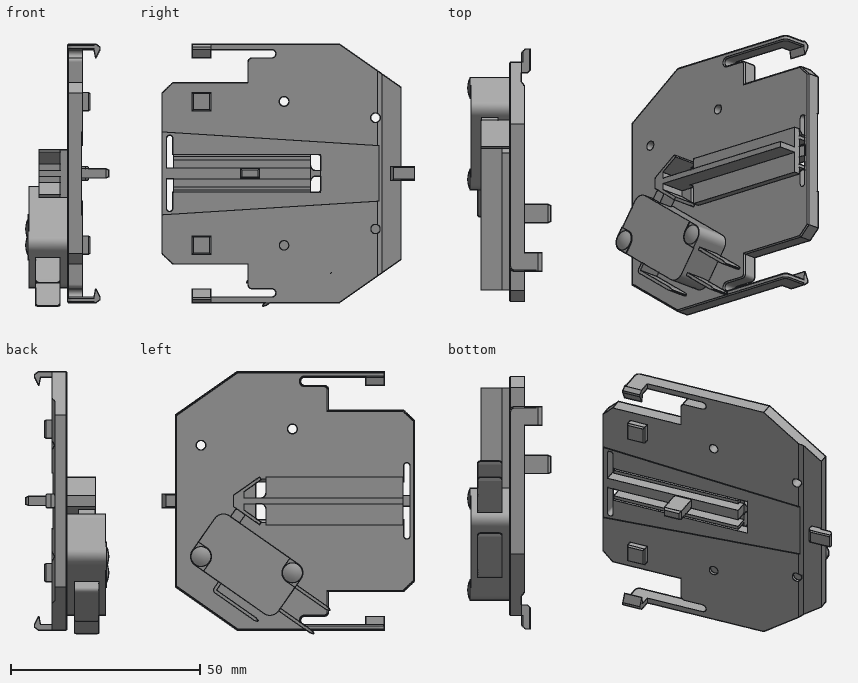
import cadquery as cq
import math


TILT = 35.0
TILT_COS = math.cos(math.radians(TILT))
TILT_SIN = math.sin(math.radians(TILT))

plate_length = 63.25
plate_half_height = 34.2
plate_thickness = 4.0
far_bevel_length = 16.4
far_bevel_height = far_bevel_length * math.tan(math.radians(TILT))
tongue_half_height = 24.0
tongue_bevel_length = 2.9
tongue_bevel_height = 2.8
shoulder_y = 22.75
shoulder_half_height = 30.5
shoulder_radius = 1.1
arm_thickness = 1.5
arm_slot_end_y = 30.1
edge_chamfer = 0.35
thin_end_thickness = 3.2
thin_end_start_y = 58.1
thin_end_ramp = 1.1

hook_near_y = 8.0
hook_width = 5.0
hook_bend_radius = 1.4
hook_reach = 8.7
lip_root_x = 7.0
lip_tip_near_x = 7.4
lip_tip_far_x = 7.55
lip_drop = 3.7
lip_outer_chamfer = 0.8
lip_bulge_drop = 1.45

post_inner_z = 16.5
post_height = 4.9
post_reach = 6.0
post_taper_length = 0.5
tip_inset = 0.35
tab_near_y = 60.4
tab_far_y = 66.8
tab_end_x = 5.6
tab_half_width = 1.9
tab_near_chamfer = 0.8
tab_far_chamfer = 1.05
tab_edge_chamfer = 0.35
recess_depth = 0.3
recess_half_width = 10.95
recess_far_half_width = 7.3

window_half_height = 4.9
window_far_y = 41.95
window_flare = 0.8
hinge_slot_near_y = 1.25
hinge_slot_width = 1.6
hinge_slot_half_length = 10.05
hinge_half_width = 1.45
hinge_sink = 0.3

lever_height = 7.55
web_half_thickness = 0.75
flange_thickness = 1.95
flange_half_width = 6.3
flange_near_y = 3.05
flange_far_y = 39.3
flange_fillet = 1.4
rib_inner_z = 3.55
rib_thickness = 0.9
arrow_nose_y = 47.9
arrow_nose_half_width = 1.45
wing_thickness = 0.8
wing_inner_y = 45.1
pin_near_y = 20.8
pin_length = 4.9
pin_half_height = 1.25
pin_reach = 10.95
pin_taper_length = 0.75

rivet_y = 56.45
rivet_z = -14.7
rivet_pitch_length = 22.25
rivet_pitch_height = 10.3
mount_hole_diameter = 2.5
case_margin = 2.8
case_thickness = 10.2
case_length = rivet_pitch_length + 2 * case_margin
case_height = rivet_pitch_height + 2 * case_margin
lug_thickness = 0.2
rivet_head_radius = 2.65
rivet_head_height = 0.6
plunger_start = 0.35
plunger_length = 2.9
plunger_radius = 0.55
plunger_depth = 4.45
plunger_back = 3.0
blade_thickness = 0.8
blade_width = 6.45
blade_back = 1.95
blade_tip = 36.05
blade_bevel_length = 1.0
blade_bevel_depth = 0.3
blade_corner_radius = 0.9
upper_blade_base = 7.5
lower_blade_base = 0.0
common_stub_start = 7.6
common_blade_base = -5.75
common_blade_tip = 22.1
common_bend_radius = 1.0

select_reach = 0.1

rivet_positions = [(0, 0), (rivet_pitch_length, rivet_pitch_height)]
switch_plane = cq.Plane(origin=(0, rivet_y, rivet_z), xDir=(0, -TILT_COS, -TILT_SIN), normal=(-1, 0, 0))


def block(x0, x1, y0, y1, z0, z1):
    return cq.Workplane("XY").box(x1 - x0, y1 - y0, z1 - z0, centered=False).translate((x0, y0, z0))


def mirrored(half):
    """Join a feature on the +Z side with its image on the -Z side."""
    return half.union(half.mirror("XY"))


def symmetric_outline(half_points, x, depth):
    """Extrude along X an outline given by its points on the +Z side, in (y, z)."""
    points = half_points + [(y, -z) for y, z in reversed(half_points)]
    return cq.Workplane("YZ", origin=(x, 0, 0)).polyline(points).close().extrude(depth)


def edge_at(y, z):
    """Selector box for the X-direction edge that passes through (y, z)."""
    return cq.selectors.BoxSelector((-plate_thickness, y - select_reach, z - select_reach),
                                    (plate_thickness, y + select_reach, z + select_reach))



def make_plate_blank():
    arm_inner = plate_half_height - arm_thickness
    half_points = [
        (0, tongue_half_height - tongue_bevel_height),
        (tongue_bevel_length, tongue_half_height),
        (shoulder_y, tongue_half_height),
        (shoulder_y, arm_inner),
        (hook_near_y, arm_inner),
        (hook_near_y, plate_half_height),
        (plate_length - far_bevel_length, plate_half_height),
        (plate_length, plate_half_height - far_bevel_height),
    ]
    blank = symmetric_outline(half_points, 0, plate_thickness)
    blank = blank.cut(make_arm_slots())
    for side in (1, -1):
        blank = blank.edges(edge_at(shoulder_y, side * shoulder_half_height)).fillet(shoulder_radius)
    return blank


def make_arm_slots():
    """Round-ended slots that free the arms from the plate; each opens at the shoulder."""
    height = plate_half_height - arm_thickness - shoulder_half_height
    length = 2 * (arm_slot_end_y - shoulder_y)
    slot = (cq.Workplane("YZ").center(shoulder_y, shoulder_half_height + height / 2)
            .slot2D(length, height).extrude(plate_thickness))
    return mirrored(slot)


def make_hook_legs():
    """Straight legs that carry each arm on towards +X."""
    return mirrored(block(0, lip_root_x, hook_near_y, hook_near_y + hook_width,
                          plate_half_height - arm_thickness, plate_half_height))


def make_hook_lips():
    top = plate_half_height
    lip = (cq.Workplane("XZ", origin=(0, hook_near_y, 0))
           .polyline([(lip_root_x, top), (lip_tip_far_x, top), (hook_reach, top - lip_outer_chamfer),
                      (hook_reach, top - lip_bulge_drop), (lip_tip_far_x, top - lip_drop),
                      (lip_tip_near_x, top - lip_drop), (lip_root_x, top - arm_thickness)])
           .close().extrude(-hook_width))
    return mirrored(lip)


def bend_and_chamfer(blank):
    """Round the outside of the hook bends, then bevel the outer edge of the front face."""
    bends = cq.selectors.BoxSelector((-select_reach, hook_near_y - select_reach, -plate_half_height),
                                     (select_reach, hook_near_y + select_reach, plate_half_height))
    blank = blank.edges("|Z").edges(bends).fillet(hook_bend_radius)
    return blank.faces("<X").edges().chamfer(edge_chamfer)


def make_thin_end_cut():
    start = thin_end_start_y - thin_end_ramp
    return (cq.Workplane("XY", origin=(0, 0, -plate_half_height))
            .polyline([(plate_thickness, start), (thin_end_thickness, thin_end_start_y),
                       (thin_end_thickness, plate_length), (plate_thickness, plate_length)])
            .close().extrude(2 * plate_half_height))


def make_back_recess():
    return symmetric_outline([(0, recess_half_width), (thin_end_start_y, recess_far_half_width)],
                             plate_thickness - recess_depth, recess_depth)


def make_lever_window():
    """Window behind the lever, flaring towards the front face, and the slot that frees its hinge."""
    near = hinge_slot_near_y + hinge_slot_width / 2
    front_half_height = window_half_height + window_flare
    window = (cq.Workplane("XZ", origin=(0, near, 0))
              .polyline([(0, -front_half_height), (0, front_half_height),
                         (window_flare, window_half_height), (plate_thickness, window_half_height),
                         (plate_thickness, -window_half_height), (window_flare, -window_half_height)])
              .close().extrude(near - window_far_y))
    slot = (cq.Workplane("YZ", origin=(0, near, 0))
            .slot2D(2 * hinge_slot_half_length, hinge_slot_width, 90).extrude(plate_thickness))
    return window.union(slot)


def make_hinge():
    """Strip behind the lever flange that joins the lever to the plate across the hinge slot."""
    back = plate_thickness - recess_depth
    return (cq.Workplane("XY", origin=(0, 0, -hinge_half_width))
            .polyline([(hinge_sink, hinge_slot_near_y), (0, flange_near_y), (0, flange_far_y),
                       (back, flange_far_y), (back, hinge_slot_near_y)])
            .close().extrude(2 * hinge_half_width))


def make_mounting_holes():
    holes = (cq.Workplane(switch_plane).pushPoints(rivet_positions)
             .circle(mount_hole_diameter / 2).extrude(-plate_thickness))
    return mirrored(holes)


def make_peg(x0, x1, y0, length, z0, height, taper_length):
    """Rectangular peg towards +X whose sides draw in over the taper length at its tip."""
    draft = math.degrees(math.atan(tip_inset / taper_length))
    centre = (y0 + length / 2, z0 + height / 2)
    shank_end = x1 - taper_length
    shank = cq.Workplane("YZ", origin=(x0, 0, 0)).center(*centre).rect(length, height).extrude(shank_end - x0)
    tip = (cq.Workplane("YZ", origin=(shank_end, 0, 0)).center(*centre)
           .rect(length, height).extrude(taper_length, taper=draft))
    return shank.union(tip)


def make_posts():
    return mirrored(make_peg(plate_thickness, post_reach, hook_near_y, hook_width,
                             post_inner_z, post_height, post_taper_length))


def make_end_tab():
    tab = (cq.Workplane("XY", origin=(0, 0, -tab_half_width))
           .polyline([(thin_end_thickness, tab_near_y), (tab_end_x - tab_near_chamfer, tab_near_y),
                      (tab_end_x, tab_near_y + tab_near_chamfer), (tab_end_x, tab_far_y),
                      (thin_end_thickness + tab_far_chamfer, tab_far_y),
                      (thin_end_thickness, tab_far_y - tab_far_chamfer)])
           .close().extrude(2 * tab_half_width))
    tab = tab.faces("<X or >X").edges("|Y").chamfer(tab_edge_chamfer)
    seat = block(thin_end_thickness, thin_end_thickness + tab_edge_chamfer, tab_near_y, plate_length,
                 -tab_half_width, tab_half_width)
    return tab.union(seat)



def make_lever():
    flange = block(-flange_thickness, 0, flange_near_y, flange_far_y,
                   -flange_half_width, flange_half_width)
    web = block(-lever_height, 0, flange_near_y, arrow_nose_y, -web_half_thickness, web_half_thickness)
    lever = flange.union(web)
    for side in (1, -1):
        root = edge_at(flange_far_y, side * web_half_thickness)
        lever = lever.edges("|X").edges(root).fillet(flange_fillet)
    return lever.union(make_arrow())


def make_arrow():
    """Arrow head whose two wings slope back from a blunt nose to the flange width."""
    slope = math.tan(math.radians(TILT))
    wing_tail_y = arrow_nose_y - (flange_half_width - arrow_nose_half_width) / slope
    tail_inner_y = wing_tail_y - wing_thickness * TILT_SIN
    tail_inner_z = flange_half_width - wing_thickness * TILT_COS
    inner_z = tail_inner_z - (wing_inner_y - tail_inner_y) * slope
    half_points = [(arrow_nose_y, arrow_nose_half_width), (wing_tail_y, flange_half_width),
                   (tail_inner_y, tail_inner_z), (wing_inner_y, inner_z)]
    return symmetric_outline(half_points, -lever_height, lever_height)


def make_lever_pin():
    return make_peg(0, pin_reach, pin_near_y, pin_length,
                    -pin_half_height, 2 * pin_half_height, pin_taper_length)


def make_lever_ribs():
    return mirrored(block(0, plate_thickness - recess_depth, flange_near_y, flange_far_y,
                          rib_inner_z, rib_inner_z + rib_thickness))


def make_carrier():
    carrier = bend_and_chamfer(make_plate_blank().union(make_hook_legs()))
    carrier = carrier.cut(make_thin_end_cut())
    carrier = carrier.cut(make_back_recess())
    carrier = carrier.cut(make_lever_window())
    carrier = carrier.cut(make_mounting_holes())
    for feature in (make_hook_lips(), make_posts(), make_end_tab(), make_hinge(),
                    make_lever(), make_lever_ribs(), make_lever_pin()):
        carrier = carrier.union(feature)
    return carrier



def switch_block(start, length, base, height, back, depth):
    """Box in the switch's own directions, standing `back` in front of the plate."""
    return (cq.Workplane(switch_plane).workplane(offset=back)
            .center(start, base).rect(length, height, centered=False).extrude(depth))


def make_case():
    case = switch_block(-case_margin, case_length, -case_margin, case_height, 0, case_thickness)
    return case.edges("|X").fillet(case_margin)


def make_lugs():
    """Thin raised pads under the rivet heads, rounded at the case corner and at the opposite corner."""
    size = 2 * case_margin
    pads = []
    for along, up in rivet_positions:
        pad = switch_block(along - case_margin, size, up - case_margin, size, case_thickness, lug_thickness)
        pads.append(pad.edges("|X").edges("<Y or >Y").fillet(case_margin))
    return pads


def make_rivets():
    """Domed heads with shanks through the plate's mounting holes."""
    dome_radius = (rivet_head_radius ** 2 + rivet_head_height ** 2) / (2 * rivet_head_height)
    head_base = case_thickness + lug_thickness
    shanks = (cq.Workplane(switch_plane).pushPoints(rivet_positions)
              .circle(mount_hole_diameter / 2).extrude(-thin_end_thickness))
    heads = (cq.Workplane(switch_plane).workplane(offset=head_base).pushPoints(rivet_positions)
             .circle(rivet_head_radius).extrude(rivet_head_height))
    domes = (cq.Workplane(switch_plane).workplane(offset=head_base + rivet_head_height - dome_radius)
             .pushPoints(rivet_positions).sphere(dome_radius))
    return shanks.union(heads.intersect(domes))


def make_plunger():
    """Plunger that rises from the case to the lower flank of the lever's arrow."""
    nose_along_y = rivet_y - arrow_nose_y
    nose_along_z = -arrow_nose_half_width - rivet_z
    flank = nose_along_y * TILT_SIN + nose_along_z * TILT_COS
    case_top = case_height - case_margin
    plunger = switch_block(plunger_start, plunger_length, case_top, flank - case_top,
                           plunger_back, plunger_depth)
    return plunger.edges("|X").edges(">Z or <Y").fillet(plunger_radius)


def make_blade(start, tip, base):
    """Flat terminal along the switch's length, thinned on both faces at the tip, with rounded corners."""
    top = base + blade_thickness
    shoulder = tip - blade_bevel_length
    profile = (cq.Workplane(switch_plane).workplane(offset=blade_back)
               .polyline([(start, base), (shoulder, base), (tip, base + blade_bevel_depth),
                          (tip, top - blade_bevel_depth), (shoulder, top), (start, top)])
               .close().extrude(blade_width))
    plan_plane = cq.Plane(origin=switch_plane.toWorldCoords((0, base, blade_back)).toTuple(),
                          xDir=switch_plane.xDir, normal=switch_plane.yDir)
    inner_tip = tip - blade_corner_radius
    plan = (cq.Workplane(plan_plane).center(start, 0)
            .rect(tip - start, -blade_width, centered=False).extrude(blade_thickness))
    plan = plan.edges(cq.selectors.ParallelDirSelector(switch_plane.yDir))
    tip_edges = [edge for edge in plan.vals() if switch_plane.toLocalCoords(edge.Center()).x > inner_tip]
    return profile.intersect(plan.newObject(tip_edges).fillet(blade_corner_radius))


def make_common_stub():
    """Short leg from the case's lower side, bent into the common blade."""
    case_bottom = -case_margin
    outer = common_stub_start
    inner = outer + blade_thickness
    bend = common_bend_radius
    return (cq.Workplane(switch_plane).workplane(offset=blade_back)
            .moveTo(inner, case_bottom).lineTo(outer, case_bottom)
            .lineTo(outer, common_blade_base + bend)
            .radiusArc((outer + bend, common_blade_base), -bend)
            .lineTo(outer + bend, common_blade_base + blade_thickness)
            .lineTo(inner, common_blade_base + blade_thickness)
            .close().extrude(blade_width))


def make_microswitch():
    case_end = case_length - case_margin
    parts = [*make_lugs(), make_rivets(), make_plunger(), make_common_stub(),
             make_blade(case_end, blade_tip, upper_blade_base),
             make_blade(case_end, blade_tip, lower_blade_base),
             make_blade(common_stub_start + common_bend_radius, common_blade_tip, common_blade_base)]
    switch = make_case()
    for part in parts:
        switch = switch.union(part)
    return switch


carrier = make_carrier()
microswitch = make_microswitch()
result = cq.Compound.makeCompound([carrier.val(), microswitch.val()])